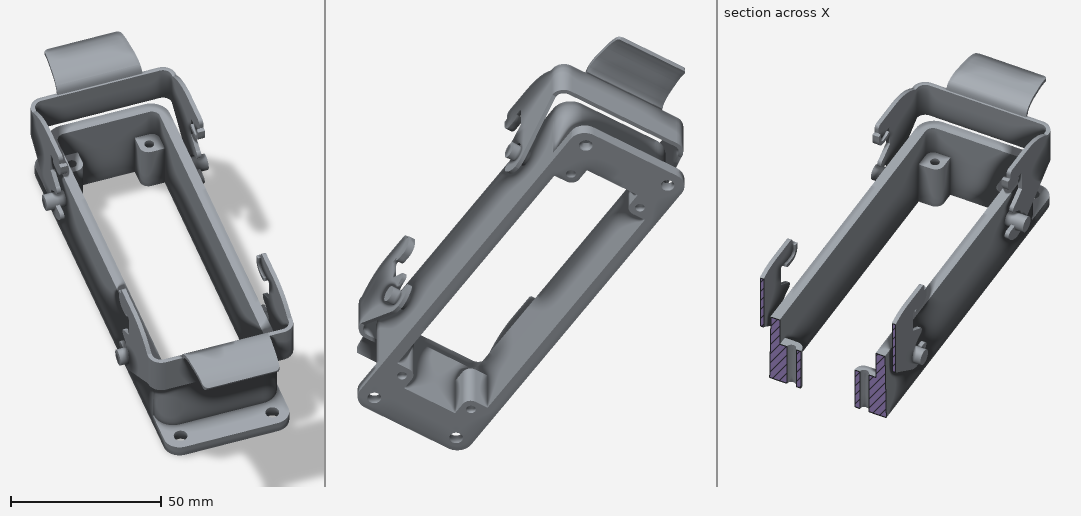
import cadquery as cq
import math

FLANGE_LENGTH = 141.0
FLANGE_WIDTH = 43.9
FLANGE_THICKNESS = 3.9
FLANGE_CORNER = 5.5
MOUNT_HOLE_DIAMETER = 4.5
MOUNT_HOLE_SPACING_X = 130.5
MOUNT_HOLE_SPACING_Y = 32.3
BODY_LENGTH = 120.6
BODY_WIDTH = 43.0
BODY_HEIGHT = 27.4
BODY_CORNER = 6.7
END_WALL = 3.9
SIDE_WALL = 3.6
CAVITY_CORNER = BODY_CORNER - END_WALL
CAVITY_LENGTH = BODY_LENGTH - 2 * END_WALL
CAVITY_WIDTH = BODY_WIDTH - 2 * SIDE_WALL
CAVITY_DRAFT_DEGREES = 0.5

POST_SIZE = 7.8
POST_HEIGHT = 16.6
POST_CORNER = 3.1
POST_HOLE_DIAMETER = 3.3
POST_HOLE_INSET = 4.2

PIN_SPAN = 57.0
PIN_RADIUS = 2.8
PIN_X = -37.2
PIN_Z = 18.0

SHEET = 1.5
LEVER_END_X = -63.6
LEVER_WIDTH = 51.0
LEVER_BEND = 4.5
BEND_END_X = LEVER_END_X + LEVER_BEND
BAND_BOTTOM = 26.5
BAND_TOP = 39.8

ARM_TOP = 44.9
ARM_CROWN_X = -43.4
ARM_CROWN_RADIUS = 24.5
THROAT_CORNER = 1.0
HOOK_CORNER = 1.5
HOOK_SHOULDER_X = -31.2
THROAT_X = -39.7
THROAT_TOP = 38.4
NOSE_X = -29.5
NOSE_BOTTOM = 36.4
NOSE_RADIUS = 3.5
NOSE_FLAT_END_X = -35.3
LIP_TOP = 42.0
LIP_DEPTH = 1.0
HOOK_TIP = (-37.5, 37.4)
HOOK_TIP_INNER = (-37.0, 38.4)
FINGER_TOP_Z = 18.3
THROAT_BOTTOM = (THROAT_X, 30.5)
CATCH_TOP = (-34.5, 27.4)
CATCH_POINT = (-33.1, 26.1)
CATCH_BOTTOM = (-34.1, 24.5)
CATCH_NECK = (-35.9, 23.8)
SLOT_MOUTH = (-39.2, 21.4)
FINGER_TOP = (-31.3, FINGER_TOP_Z)
FINGER_SHOULDER = (-30.0, 17.6)
FINGER_END = (-29.9, 16.3)
FINGER_UNDERSIDE = (-32.2, 13.7)
HEEL_FRONT = (-36.0, 12.2)
HEEL_BOTTOM = (-38.5, 12.7)
HEEL_REAR = (-40.6, 13.9)

GRIP_TOP = 43.9
GRIP_SHEET = 1.3
GRIP_END_X = -81.6
GRIP_FLAT_START_X = -74.5
GRIP_FLAT_END_X = -69.7
GRIP_END_RADIUS = 16.3
GRIP_BEND_RADIUS = 10.1
GRIP_BEND_ANGLE = math.radians(30)
GRIP_ROOT_RADIUS = 3.3
GRIP_ROOT_ANGLE = math.radians(70)
GRIP_END_WIDTH = 26.8
GRIP_ROOT_WIDTH = 30.0
GRIP_CORNER = 2.0


def rounded_block(length, width, height, corner):
    return (
        cq.Workplane("XY")
        .rect(length, width)
        .extrude(height)
        .edges("|Z")
        .fillet(corner)
    )


def mirrored(shape, plane):
    return shape.union(shape.mirror(plane))


def drafted_prism(length):
    """Prism along X as wide as the flange at the bottom and as the body at the top."""
    return (
        cq.Workplane("YZ", origin=(-length / 2, 0, 0))
        .moveTo(-FLANGE_WIDTH / 2, 0)
        .lineTo(FLANGE_WIDTH / 2, 0)
        .lineTo(BODY_WIDTH / 2, BODY_HEIGHT)
        .lineTo(-BODY_WIDTH / 2, BODY_HEIGHT)
        .close()
        .extrude(length)
    )


def make_cavity():
    """Through opening that is straight up to the post tops and widens slightly above them."""
    lower = rounded_block(CAVITY_LENGTH, CAVITY_WIDTH, POST_HEIGHT, CAVITY_CORNER)
    upper = (
        lower.faces(">Z")
        .wires()
        .toPending()
        .workplane()
        .extrude(BODY_HEIGHT - POST_HEIGHT, taper=-CAVITY_DRAFT_DEGREES, combine=False)
    )
    return lower.union(upper)


def make_housing():
    flange = rounded_block(FLANGE_LENGTH, FLANGE_WIDTH, FLANGE_THICKNESS, FLANGE_CORNER)
    body = rounded_block(BODY_LENGTH, BODY_WIDTH, BODY_HEIGHT, BODY_CORNER)
    flange = flange.intersect(drafted_prism(FLANGE_LENGTH))
    side_panels = drafted_prism(BODY_LENGTH - 2 * BODY_CORNER)
    mount_holes = (
        cq.Workplane("XY")
        .rect(MOUNT_HOLE_SPACING_X, MOUNT_HOLE_SPACING_Y, forConstruction=True)
        .vertices()
        .circle(MOUNT_HOLE_DIAMETER / 2)
        .extrude(FLANGE_THICKNESS)
    )
    return flange.union(body).union(side_panels).cut(make_cavity()).cut(mount_holes)


def make_post():
    """Post in the -X, -Y corner, set into both walls."""
    overlap = SIDE_WALL / 2
    side = POST_SIZE + overlap
    corner_x = -CAVITY_LENGTH / 2
    corner_y = -CAVITY_WIDTH / 2
    block = (
        cq.Workplane("XY", origin=(corner_x - overlap, corner_y - overlap, 0))
        .rect(side, side, centered=False)
        .extrude(POST_HEIGHT)
        .edges("|Z and >X and >Y")
        .fillet(POST_CORNER)
    )
    block = block.intersect(rounded_block(BODY_LENGTH, BODY_WIDTH, POST_HEIGHT, BODY_CORNER))
    hole = (
        cq.Workplane("XY")
        .center(corner_x + POST_HOLE_INSET, corner_y + POST_HOLE_INSET)
        .circle(POST_HOLE_DIAMETER / 2)
        .extrude(POST_HEIGHT)
    )
    return block.cut(hole)


def make_pin():
    """Pin on the -Y wall, starting inside the wall."""
    root_y = -(BODY_WIDTH - SIDE_WALL) / 2
    return (
        cq.Workplane("XZ", origin=(PIN_X, root_y, PIN_Z))
        .circle(PIN_RADIUS)
        .extrude(PIN_SPAN / 2 + root_y)
    )


def make_band():
    """End wall of the lever with its two bent corners."""
    length = 2 * abs(LEVER_END_X)
    height = BAND_TOP - BAND_BOTTOM
    outer = rounded_block(length, LEVER_WIDTH, height, LEVER_BEND)
    inner = rounded_block(length - 2 * SHEET, LEVER_WIDTH - 2 * SHEET, height, LEVER_BEND - SHEET)
    end_zone = (
        cq.Workplane("XY", origin=(LEVER_END_X, -LEVER_WIDTH / 2, 0))
        .rect(LEVER_BEND, LEVER_WIDTH, centered=False)
        .extrude(height)
    )
    return outer.cut(inner).intersect(end_zone).translate((0, 0, BAND_BOTTOM))


def polar(centre, radius, angle):
    """Point around centre, with the angle measured from +Z towards +X."""
    return (centre[0] + radius * math.sin(angle), centre[1] + radius * math.cos(angle))


def nose_point(radius, degrees):
    """Point around the centre of the hook nose, with the angle measured from +X towards +Z."""
    centre = (NOSE_X - NOSE_RADIUS, NOSE_BOTTOM + NOSE_RADIUS)
    return polar(centre, radius, math.radians(90 - degrees))


def crown_point(z):
    """Point of the crown arc at height z, on its falling -X side."""
    centre_z = ARM_TOP - ARM_CROWN_RADIUS
    return (ARM_CROWN_X - math.sqrt(ARM_CROWN_RADIUS**2 - (z - centre_z) ** 2), z)


def make_arm():
    """Flat side arm at -Y, drawn clockwise from its lower bend corner."""
    crown_start = crown_point(BAND_TOP)
    crown_middle = crown_point((BAND_TOP + 2 * ARM_TOP) / 3)
    slot_left = (PIN_X - PIN_RADIUS, PIN_Z)
    slot_bottom = (PIN_X, PIN_Z - PIN_RADIUS)
    slot_rise = FINGER_TOP_Z - PIN_Z
    slot_right = (PIN_X + math.sqrt(PIN_RADIUS**2 - slot_rise**2), FINGER_TOP_Z)
    outline = (
        cq.Workplane("XZ", origin=(0, -LEVER_WIDTH / 2, 0))
        .moveTo(BEND_END_X, BAND_BOTTOM)
        .lineTo(BEND_END_X, BAND_TOP)
        .lineTo(*crown_start)
        .threePointArc(crown_middle, (ARM_CROWN_X, ARM_TOP))
        .lineTo(HOOK_SHOULDER_X - HOOK_CORNER, ARM_TOP)
        .tangentArcPoint((HOOK_SHOULDER_X, ARM_TOP - HOOK_CORNER), relative=False)
        .lineTo(HOOK_SHOULDER_X, LIP_TOP)
        .lineTo(NOSE_X, LIP_TOP)
        .lineTo(*nose_point(NOSE_RADIUS, 0))
        .threePointArc(nose_point(NOSE_RADIUS, -45), nose_point(NOSE_RADIUS, -90))
        .lineTo(NOSE_FLAT_END_X, NOSE_BOTTOM)
        .tangentArcPoint(HOOK_TIP, relative=False)
        .lineTo(*HOOK_TIP_INNER)
        .lineTo(THROAT_X + THROAT_CORNER, THROAT_TOP)
        .tangentArcPoint((THROAT_X, THROAT_TOP - THROAT_CORNER), relative=False)
        .lineTo(*THROAT_BOTTOM)
        .lineTo(*CATCH_TOP)
        .threePointArc(CATCH_POINT, CATCH_BOTTOM)
        .lineTo(*CATCH_NECK)
        .lineTo(*SLOT_MOUTH)
        .lineTo(*slot_left)
        .threePointArc(slot_bottom, slot_right)
        .lineTo(*FINGER_TOP)
        .threePointArc(FINGER_SHOULDER, FINGER_END)
        .threePointArc(FINGER_UNDERSIDE, HEEL_FRONT)
        .threePointArc(HEEL_BOTTOM, HEEL_REAR)
        .close()
    )
    return outline.extrude(-SHEET)


def make_hook_lip():
    """Rim along the hook nose that stands inwards from the arm."""
    inner_radius = NOSE_RADIUS - SHEET
    outline = (
        cq.Workplane("XZ", origin=(0, -LEVER_WIDTH / 2, 0))
        .moveTo(NOSE_X - SHEET, LIP_TOP)
        .lineTo(NOSE_X, LIP_TOP)
        .lineTo(*nose_point(NOSE_RADIUS, 0))
        .threePointArc(nose_point(NOSE_RADIUS, -45), nose_point(NOSE_RADIUS, -90))
        .lineTo(NOSE_FLAT_END_X, NOSE_BOTTOM)
        .tangentArcPoint(HOOK_TIP, relative=False)
        .lineTo(*HOOK_TIP_INNER)
        .lineTo(NOSE_FLAT_END_X, NOSE_BOTTOM + SHEET)
        .lineTo(*nose_point(inner_radius, -90))
        .threePointArc(nose_point(inner_radius, -45), nose_point(inner_radius, 0))
        .close()
    )
    return outline.extrude(-(SHEET + LIP_DEPTH))


def make_grip():
    """Curled finger grip: an S-shaped sheet section with tapered sides."""
    end_angle = math.asin((GRIP_FLAT_START_X - GRIP_END_X) / GRIP_END_RADIUS)
    end_centre = (GRIP_FLAT_START_X, GRIP_TOP - GRIP_END_RADIUS)
    bend_centre = (GRIP_FLAT_END_X, GRIP_TOP - GRIP_BEND_RADIUS)
    root_centre = polar(bend_centre, GRIP_BEND_RADIUS - GRIP_ROOT_RADIUS, GRIP_BEND_ANGLE)
    root_middle = (GRIP_BEND_ANGLE + GRIP_ROOT_ANGLE) / 2
    root_x = LEVER_END_X + SHEET

    def end_arc(angle, depth):
        return polar(end_centre, GRIP_END_RADIUS - depth, angle)

    def bend_arc(angle, depth):
        return polar(bend_centre, GRIP_BEND_RADIUS - depth, angle)

    def root_arc(angle, depth):
        return polar(root_centre, GRIP_ROOT_RADIUS - depth, angle)

    tail_length = (root_x - root_arc(GRIP_ROOT_ANGLE, 0)[0]) / math.cos(GRIP_ROOT_ANGLE)

    def tail_end(depth):
        return polar(root_arc(GRIP_ROOT_ANGLE, depth), tail_length, GRIP_ROOT_ANGLE + math.pi / 2)

    section = (
        cq.Workplane("XZ", origin=(0, GRIP_ROOT_WIDTH / 2, 0))
        .moveTo(*end_arc(-end_angle, 0))
        .threePointArc(end_arc(-end_angle / 2, 0), end_arc(0, 0))
        .lineTo(*bend_arc(0, 0))
        .threePointArc(bend_arc(GRIP_BEND_ANGLE / 2, 0), bend_arc(GRIP_BEND_ANGLE, 0))
        .threePointArc(root_arc(root_middle, 0), root_arc(GRIP_ROOT_ANGLE, 0))
        .lineTo(*tail_end(0))
        .lineTo(*tail_end(GRIP_SHEET))
        .lineTo(*root_arc(GRIP_ROOT_ANGLE, GRIP_SHEET))
        .threePointArc(root_arc(root_middle, GRIP_SHEET), root_arc(GRIP_BEND_ANGLE, GRIP_SHEET))
        .threePointArc(bend_arc(GRIP_BEND_ANGLE / 2, GRIP_SHEET), bend_arc(0, GRIP_SHEET))
        .lineTo(*end_arc(0, GRIP_SHEET))
        .threePointArc(end_arc(-end_angle / 2, GRIP_SHEET), end_arc(-end_angle, GRIP_SHEET))
        .close()
        .extrude(GRIP_ROOT_WIDTH)
    )
    plan = (
        cq.Workplane("XY", origin=(0, 0, BAND_TOP))
        .moveTo(root_x, -GRIP_ROOT_WIDTH / 2)
        .lineTo(root_x, GRIP_ROOT_WIDTH / 2)
        .lineTo(GRIP_END_X, GRIP_END_WIDTH / 2)
        .lineTo(GRIP_END_X, -GRIP_END_WIDTH / 2)
        .close()
        .extrude(GRIP_TOP - BAND_TOP)
        .edges("|Z and <X")
        .fillet(GRIP_CORNER)
    )
    return section.intersect(plan)


def make_lever():
    side = make_arm().union(make_hook_lip())
    return make_band().union(mirrored(side, "XZ")).union(make_grip())


posts = mirrored(mirrored(make_post(), "XZ"), "YZ")
pins = mirrored(mirrored(make_pin(), "XZ"), "YZ")
levers = mirrored(make_lever(), "YZ")
result = make_housing().union(posts).union(pins).union(levers)